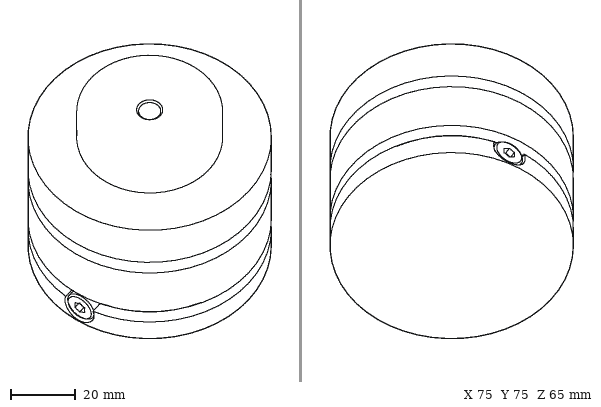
import cadquery as cq
import math

body_radius = 37.5
neck_radius = 67.0 / 2
boss_radius = 22.5
base_top = 8.0
neck_top = 13.0
body_top = 52.0
total_height = 65.0
boss_edge_radius = 1.05

groove_radius = 2.55
groove_height = 34.05

hole_diameter = 6.8
hole_mouth_diameter = 8.0
hole_depth = 18.0
drill_point_angle = 118.0

screw_height = 6.0
pocket_diameter = 11.0
pocket_floor = 30.0
head_diameter = 10.0
head_face = 37.0
head_chamfer = 0.6
socket_flats = 3.5
socket_depth = 2.25


def make_body():
    """Revolve the stepped profile, including the groove."""
    return (
        cq.Workplane("XZ")
        .lineTo(body_radius, 0)
        .lineTo(body_radius, base_top)
        .lineTo(neck_radius, base_top)
        .lineTo(neck_radius, neck_top)
        .lineTo(body_radius, neck_top)
        .lineTo(body_radius, groove_height - groove_radius)
        .threePointArc(
            (body_radius - groove_radius, groove_height),
            (body_radius, groove_height + groove_radius),
        )
        .lineTo(body_radius, body_top)
        .lineTo(boss_radius, body_top)
        .lineTo(boss_radius, total_height)
        .lineTo(0, total_height)
        .close()
        .revolve(360, (0, 0), (0, 1))
        .faces(">Z")
        .edges()
        .fillet(boss_edge_radius)
    )


def make_centre_hole():
    """Drilled hole with a 45 degree mouth and a conical bottom."""
    hole_radius = hole_diameter / 2
    mouth_radius = hole_mouth_diameter / 2
    point_length = hole_radius / math.tan(math.radians(drill_point_angle / 2))
    floor = total_height - hole_depth
    return (
        cq.Workplane("XZ")
        .moveTo(0, total_height)
        .lineTo(mouth_radius, total_height)
        .lineTo(hole_radius, total_height - (mouth_radius - hole_radius))
        .lineTo(hole_radius, floor)
        .lineTo(0, floor - point_length)
        .close()
        .revolve(360, (0, 0), (0, 1))
    )


def screw_plane(distance):
    """Sketch plane on the screw axis, facing -Y, at a distance from the Z axis."""
    return cq.Workplane("XZ", origin=(0, -distance, screw_height))


def make_screw_pocket():
    return screw_plane(pocket_floor).circle(pocket_diameter / 2).extrude(body_radius - pocket_floor)


def make_screw_head():
    """Chamfered cylindrical head with a hexagon socket, corners up and down."""
    head = (
        screw_plane(pocket_floor)
        .circle(head_diameter / 2)
        .extrude(head_face - pocket_floor)
        .faces("<Y")
        .chamfer(head_chamfer)
    )
    socket = (
        screw_plane(head_face - socket_depth)
        .polygon(6, socket_flats, circumscribed=True)
        .extrude(socket_depth)
    )
    return head.cut(socket)


result = (
    make_body()
    .cut(make_centre_hole())
    .cut(make_screw_pocket())
    .union(make_screw_head())
)